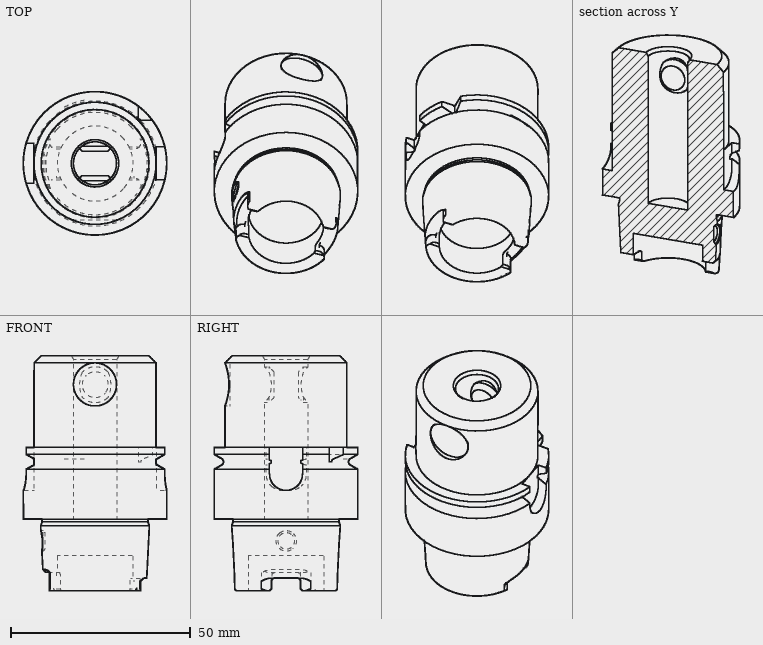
import cadquery as cq
import math

shank_length = 20.0
flange_height = 20.0
nose_height = 25.5
shank_end_z = -shank_length
nose_start_z = flange_height
nose_end_z = flange_height + nose_height

nose_radius = 34.0 / 2
nose_chamfer = 2.0
bore_radius = 12.0 / 2
bore_depth = nose_height + flange_height
bore_mouth_widening = 0.6
bore_mouth_depth = 1.05

screw_z = nose_end_z - 8.0
pocket_radius = 12.0 / 2
pocket_floor_offset = 15.65
screw_radius = 5.0
screw_tip_radius = 3.6
screw_tip_offset = 3.4
screw_root_offset = bore_radius + 1.0

flange_radius = 40.0 / 2
groove_top_z = 18.0
groove_bottom_z = 13.9
groove_mid_z = (groove_top_z + groove_bottom_z) / 2
groove_floor_depth = 2.55
groove_flank_angle = math.radians(30.0)

slot_floor_offset = 17.0
slot_bottom_z = 8.0
slot_corner_radius = 4.6
left_slot_width = 11.2
right_slot_width = 2 * slot_corner_radius
corner_notch_offset = 12.0

relief_radius = 29.6 / 2
relief_height = 0.8
taper_start_radius = 15.17
taper_start_z = -1.9
taper_slope = 0.5 / 10
shank_end_fillet = 0.8
shank_bore_radius = 21.0 / 2
shank_bore_depth = 10.0

drive_slot_width = 8.05
drive_slot_corner_radius = 0.85
drive_slot_mouth_chamfer = 0.6
drive_flare_width = 13.75
drive_flare_radius = 1.92
drive_flare_drop = 0.9
left_drive_roof_z = -14.0
left_drive_roof_chamfer = 0.85
right_drive_roof_z = -16.45

access_hole_z = -6.0
access_hole_radius = 4.6 / 2
access_mouth_radius = 5.7 / 2
access_hole_floor_offset = 14.0
access_mouth_offset = 14.5


def taper_radius(z):
    return taper_start_radius - taper_slope * (taper_start_z - z)


def make_body():
    """Revolved outside shape: taper shank, grooved flange and chamfered nose."""
    half_opening = (groove_top_z - groove_bottom_z) / 2
    apex_depth = half_opening / math.tan(groove_flank_angle)
    floor_radius = (apex_depth - groove_floor_depth) / (1 / math.sin(groove_flank_angle) - 1)
    tangent_rise = floor_radius * math.cos(groove_flank_angle)
    tangent_r = flange_radius - (half_opening - tangent_rise) / math.tan(groove_flank_angle)
    groove_floor_r = flange_radius - groove_floor_depth
    profile = (
        cq.Workplane("XZ")
        .moveTo(0, shank_end_z)
        .lineTo(taper_radius(shank_end_z), shank_end_z)
        .lineTo(taper_start_radius, taper_start_z)
        .lineTo(relief_radius, -relief_height)
        .lineTo(relief_radius, 0)
        .lineTo(flange_radius, 0)
        .lineTo(flange_radius, groove_bottom_z)
        .lineTo(tangent_r, groove_mid_z - tangent_rise)
        .threePointArc((groove_floor_r, groove_mid_z), (tangent_r, groove_mid_z + tangent_rise))
        .lineTo(flange_radius, groove_top_z)
        .lineTo(flange_radius, nose_start_z)
        .lineTo(nose_radius, nose_start_z)
        .lineTo(nose_radius, nose_end_z - nose_chamfer)
        .lineTo(nose_radius - nose_chamfer, nose_end_z)
        .lineTo(0, nose_end_z)
        .close()
    )
    return profile.revolve(360, (0, 0, 0), (0, 1, 0))


def flange_slot(side, width):
    """Cutter for a key slot in the flange rim; side is -1 or +1 along X."""
    depth = flange_radius - slot_floor_offset
    half_width = width / 2
    half_flat = half_width - slot_corner_radius
    corner_z = slot_bottom_z + slot_corner_radius
    corner_diagonal = slot_corner_radius * math.sqrt(0.5)
    arc_mid_y = half_flat + corner_diagonal
    arc_mid_z = corner_z - corner_diagonal
    outline = (
        cq.Workplane("YZ")
        .moveTo(-half_width, nose_start_z)
        .lineTo(-half_width, corner_z)
        .threePointArc((-arc_mid_y, arc_mid_z), (-half_flat, slot_bottom_z))
    )
    if half_flat > 0:
        outline = outline.lineTo(half_flat, slot_bottom_z)
    block = (
        outline
        .threePointArc((arc_mid_y, arc_mid_z), (half_width, corner_z))
        .lineTo(half_width, nose_start_z)
        .close()
        .extrude(2 * depth)
    )
    start = slot_floor_offset if side > 0 else -slot_floor_offset - 2 * depth
    return block.translate((start, 0, 0))


def corner_notch():
    """Cutter that opens the upper flange lip at the +X +Y corner, down to the groove."""
    return (
        cq.Workplane("XY", origin=(corner_notch_offset, corner_notch_offset, groove_mid_z))
        .rect(flange_radius, flange_radius, centered=False)
        .extrude(nose_start_z - groove_mid_z)
    )


def drive_slot(side, roof_z, roof_chamfer):
    """Cutter for a drive slot through one shank wall, with flared outer edges."""
    reach = flange_radius
    inner_roof_z = roof_z - roof_chamfer
    height = inner_roof_z - shank_end_z
    straight = (
        cq.Workplane("XY", origin=(reach / 2, 0, shank_end_z))
        .box(reach, drive_slot_width, height, centered=(True, True, False))
        .edges("|X and >Z")
        .fillet(drive_slot_corner_radius)
    )

    mouth_width = drive_slot_width + 2 * drive_slot_mouth_chamfer
    mouth = (
        cq.Workplane("XY", origin=(reach / 2, 0, shank_end_z))
        .rect(reach, mouth_width)
        .workplane(offset=drive_slot_mouth_chamfer)
        .rect(reach, drive_slot_width)
        .loft(ruled=True)
    )

    half_slot = drive_slot_width / 2
    half_flare = drive_flare_width / 2
    surface_r = taper_radius(shank_end_z)
    arc_y = half_slot + drive_flare_radius
    arc_x = math.sqrt((surface_r - drive_flare_radius) ** 2 - arc_y ** 2)
    end_x = math.sqrt(surface_r ** 2 - half_flare ** 2)
    mid_angle = (math.atan2(half_flare - arc_y, end_x - arc_x) - math.pi / 2) / 2
    mid_x = arc_x + drive_flare_radius * math.cos(mid_angle)
    mid_y = arc_y + drive_flare_radius * math.sin(mid_angle)
    plan = (
        cq.Workplane("XY", origin=(0, 0, shank_end_z))
        .moveTo(arc_x, -half_slot)
        .threePointArc((mid_x, -mid_y), (end_x, -half_flare))
        .lineTo(reach, -half_flare)
        .lineTo(reach, half_flare)
        .lineTo(end_x, half_flare)
        .threePointArc((mid_x, mid_y), (arc_x, half_slot))
        .close()
        .extrude(roof_z - shank_end_z)
    )

    run = half_flare - half_slot
    roof_radius = (run ** 2 + drive_flare_drop ** 2) / (2 * drive_flare_drop)
    half_run = run / 2
    half_run_drop = roof_radius - math.sqrt(roof_radius ** 2 - half_run ** 2)
    shoulder_z = roof_z - drive_flare_drop
    face = (
        cq.Workplane("YZ")
        .moveTo(-half_flare, shank_end_z)
        .lineTo(-half_flare, shoulder_z)
        .threePointArc((-half_slot - half_run, roof_z - half_run_drop), (-half_slot, roof_z))
        .lineTo(half_slot, roof_z)
        .threePointArc((half_slot + half_run, roof_z - half_run_drop), (half_flare, shoulder_z))
        .lineTo(half_flare, shank_end_z)
        .close()
        .extrude(reach)
    )
    flare = plan.intersect(face)

    if roof_chamfer > 0:
        lip_r = taper_radius(roof_z)
        above_chamfer = (
            cq.Workplane("XZ")
            .moveTo(0, inner_roof_z)
            .lineTo(lip_r - roof_chamfer, inner_roof_z)
            .lineTo(lip_r, roof_z)
            .lineTo(0, roof_z)
            .close()
            .revolve(360, (0, 0, 0), (0, 1, 0))
        )
        flare = flare.cut(above_chamfer)

    cutter = straight.union(mouth).union(flare)
    return cutter if side > 0 else cutter.rotate((0, 0, 0), (0, 0, 1), 180)


def radial_screw():
    """Screw body with a conical tip, reaching into the bore from its +Y wall."""
    cone_length = screw_radius - screw_tip_radius
    return (
        cq.Workplane("XY")
        .moveTo(0, screw_tip_offset)
        .lineTo(screw_tip_radius, screw_tip_offset)
        .lineTo(screw_radius, screw_tip_offset + cone_length)
        .lineTo(screw_radius, screw_root_offset)
        .lineTo(0, screw_root_offset)
        .close()
        .revolve(360, (0, 0, 0), (0, 1, 0))
        .translate((0, 0, screw_z))
    )


def nose_bore():
    """Cutter for the tool bore with its chamfered mouth."""
    mouth_radius = bore_radius + bore_mouth_widening
    return (
        cq.Workplane("XZ")
        .moveTo(0, nose_end_z - bore_depth)
        .lineTo(bore_radius, nose_end_z - bore_depth)
        .lineTo(bore_radius, nose_end_z - bore_mouth_depth)
        .lineTo(mouth_radius, nose_end_z)
        .lineTo(0, nose_end_z)
        .close()
        .revolve(360, (0, 0, 0), (0, 1, 0))
    )


def access_hole():
    """Cutter for the shallow countersunk hole on the -X side of the taper."""
    return (
        cq.Workplane("XY")
        .moveTo(access_hole_floor_offset, 0)
        .lineTo(access_hole_floor_offset, access_hole_radius)
        .lineTo(access_mouth_offset, access_mouth_radius)
        .lineTo(flange_radius, access_mouth_radius)
        .lineTo(flange_radius, 0)
        .close()
        .revolve(360, (0, 0, 0), (1, 0, 0))
        .mirror("YZ")
        .translate((0, 0, access_hole_z))
    )


screw_pocket = (
    cq.Workplane("XZ", origin=(0, -pocket_floor_offset, screw_z))
    .circle(pocket_radius)
    .extrude(nose_radius)
)
shank_bore = (
    cq.Workplane("XY", origin=(0, 0, shank_end_z))
    .circle(shank_bore_radius)
    .extrude(shank_bore_depth)
)

body = make_body().faces("<Z").edges().fillet(shank_end_fillet)
body = body.cut(drive_slot(-1, left_drive_roof_z, left_drive_roof_chamfer))
body = body.cut(drive_slot(1, right_drive_roof_z, 0))
body = body.cut(shank_bore).cut(access_hole())
body = body.cut(flange_slot(-1, left_slot_width)).cut(flange_slot(1, right_slot_width))
body = body.cut(corner_notch()).cut(screw_pocket).cut(nose_bore())

screw = radial_screw()
result = body.union(screw).union(screw.mirror("XZ"))